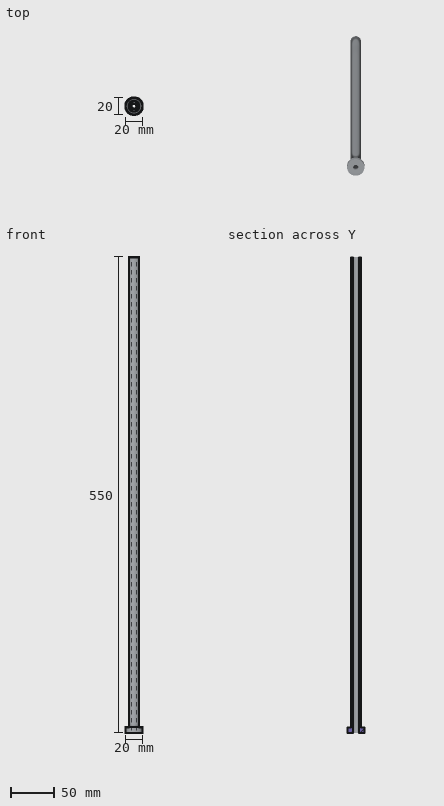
import cadquery as cq
import math

total_length = 550.0
head_diameter = 20.0
head_height = 7.0
shank_diameter = 12.0
bore_diameter = 6.0
neck_fillet = 0.5


def sleeve_section():
    """Half section of the headed sleeve, on the -X side of the Z axis."""
    head_radius = head_diameter / 2
    shank_radius = shank_diameter / 2
    bore_radius = bore_diameter / 2
    fillet_mid = neck_fillet * (1 - math.sqrt(0.5))
    return (
        cq.Workplane("XZ")
        .moveTo(-bore_radius, 0)
        .lineTo(-head_radius, 0)
        .lineTo(-head_radius, head_height)
        .lineTo(-shank_radius - neck_fillet, head_height)
        .threePointArc(
            (-shank_radius - fillet_mid, head_height + fillet_mid),
            (-shank_radius, head_height + neck_fillet),
        )
        .lineTo(-shank_radius, total_length)
        .lineTo(-bore_radius, total_length)
        .close()
    )


result = sleeve_section().revolve(360, (0, 0, 0), (0, 1, 0))